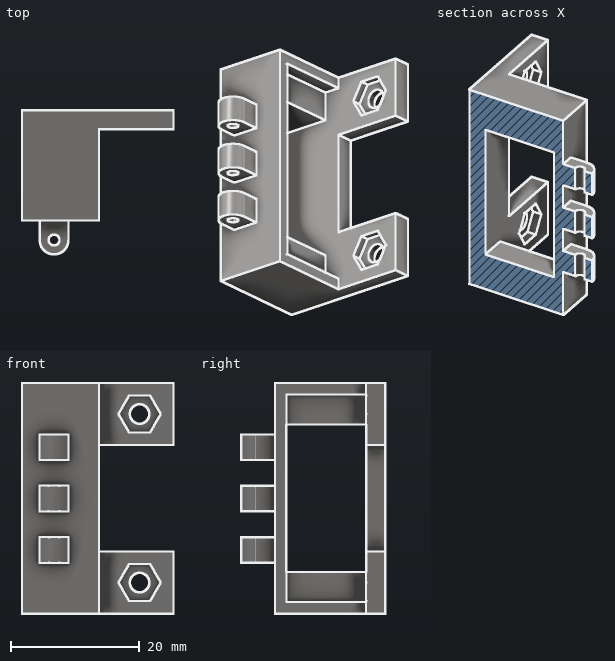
import cadquery as cq

block_width = 12.0
block_depth = 17.2
block_height = 35.9
back_wall = 3.0

window_depth = 12.4
window_height = 22.9

recess_depth = 2.65
end_wall = 1.8

flange_length = 11.58
flange_height = 9.7
screw_offset = 6.29
screw_diameter = 3.0
nut_across_corners = 6.58
nut_sides = 6
nut_pocket_depth = 1.5

knuckle_pitch = 8.0
knuckle_height = 4.0
knuckle_top_margin = 8.0
knuckle_radius = 2.25
knuckle_reach = 3.0
pin_x = 5.0
bore_diameters = (1.65, 1.7, 1.65)

block_front_y = -block_depth
flange_front_y = -back_wall
window_front_y = flange_front_y - window_depth
pin_y = block_front_y - knuckle_reach


def corner_box(corner, size):
    """Box spanning the given X, Y and Z size from its lowest corner."""
    return cq.Workplane("XY").box(*size, centered=False).translate(corner)


def make_block():
    """Rectangular block with the servo window and the ear recess cut into it along X."""
    block = corner_box((0, block_front_y, 0), (block_width, block_depth, block_height))
    window = corner_box(
        (0, window_front_y, (block_height - window_height) / 2),
        (block_width, window_depth, window_height),
    )
    recess = corner_box(
        (block_width - recess_depth, window_front_y, end_wall),
        (recess_depth, window_depth, block_height - 2 * end_wall),
    )
    return block.cut(window).cut(recess)


def make_flange(bottom_z):
    """Mounting flange with a screw hole and a hexagonal nut pocket in its front face."""
    flange = corner_box(
        (block_width, flange_front_y, bottom_z),
        (flange_length, back_wall, flange_height),
    )
    screw_x = block_width + screw_offset
    screw_z = bottom_z + flange_height / 2
    front_plane = cq.Workplane("XZ", origin=(screw_x, flange_front_y, screw_z))
    screw_hole = front_plane.circle(screw_diameter / 2).extrude(-back_wall)
    nut_pocket = front_plane.polygon(nut_sides, nut_across_corners).extrude(-nut_pocket_depth)
    return flange.cut(screw_hole).cut(nut_pocket)


def make_knuckle(bottom_z, bore_diameter):
    """Round-ended hinge knuckle with a vertical pin bore."""
    base_plane = cq.Workplane("XY", origin=(pin_x, pin_y, bottom_z))
    body = (
        base_plane
        .moveTo(-knuckle_radius, knuckle_reach)
        .lineTo(-knuckle_radius, 0)
        .threePointArc((0, -knuckle_radius), (knuckle_radius, 0))
        .lineTo(knuckle_radius, knuckle_reach)
        .close()
        .extrude(knuckle_height)
    )
    bore = base_plane.circle(bore_diameter / 2).extrude(knuckle_height)
    return body.cut(bore)


result = make_block()

for flange_bottom in (0, block_height - flange_height):
    result = result.union(make_flange(flange_bottom))

top_knuckle_bottom = block_height - knuckle_top_margin - knuckle_height
for index, diameter in enumerate(bore_diameters):
    knuckle_bottom = top_knuckle_bottom - index * knuckle_pitch
    result = result.union(make_knuckle(knuckle_bottom, diameter))